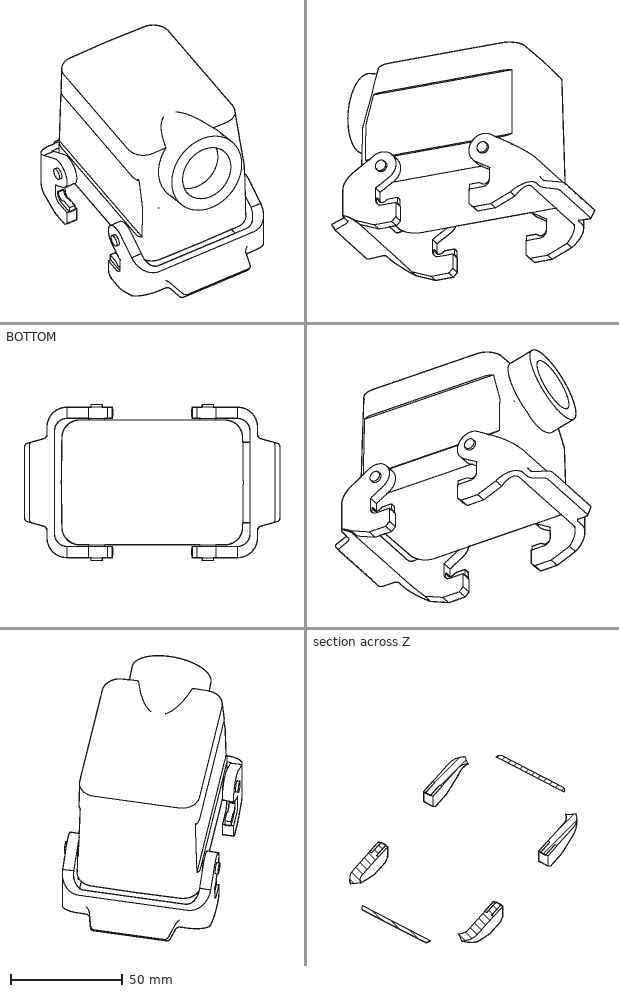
import cadquery as cq
import math


hood_height = 59.6
hood_half_length = 40.9
hood_half_width = 28.1
end_draft = math.radians(1.4)
side_draft = math.radians(0.85)
end_crown = 0.35
roof_drop = 0.35
straight_band_height = 10.6
corner_radius = 8.0
steep_edge = 0.5

port_angle = 15.0
port_diameter = 36.25
bore_diameter = 25.0
port_face_x = 47.5
port_face_z = 49.75
port_length = 45.0
slant_top_x = 32.7

recess_top_z = 45.5
recess_bottom_z = 13.8
recess_ramp_z = 12.7
recess_top_half_width = 26.35
recess_bottom_half_width = 27.1

pin_x = 25.0
pin_z = 6.0
pin_diameter = 5.1
pin_boss_diameter = 7.1
pin_tip_y = 35.1

lever_outer_x = 47.35
lever_end_thickness = 3.5
lever_outer_y = 33.85
lever_arm_thickness = 5.1
lever_bend_outer_radius = 9.0
lever_bend_inner_radius = 5.6
lever_bend_x = lever_outer_x - lever_bend_outer_radius
lever_inner_x = lever_outer_x - lever_end_thickness
lever_inner_y = lever_outer_y - lever_arm_thickness
lever_head_radius = 7.05
lever_top_z = 0.3
lever_bottom_z = -11.8
arm_bottom_z = -18.0
foot_start_x = 28.7
foot_z = -22.05
foot_chamfer = 2.0
trim_overshoot = 0.3
trim_height = 10.0
hook_end_x = 18.0
slot_back_x = 28.05
slot_top_z = -4.1
slot_floor_z = -13.0
slot_corner_radius = 3.2

lip_thickness = 2.8
lip_back_x = 27.5
lip_trough_radius = 2.6
lip_trough_z = -11.3
lip_crest_x = 22.0
lip_crest_z = -10.1
lip_end_x = 17.65
lip_root = 1.0

grip_tip_x = 57.41
grip_tip_z = -10.1
grip_tip_bottom_x = 55.2
grip_tip_bottom_z = -13.4
grip_root_z = -8.4
grip_root_half_width = 20.1
grip_tip_half_width = 17.3
grip_corner_radius = 1.5
grip_root_fillet = 2.0

tolerance = 0.001

sin_port = math.sin(math.radians(port_angle))
cos_port = math.cos(math.radians(port_angle))


def crowned_outline(half_length, half_width):
    """Rectangle whose two ends rise to a shallow peak at mid width."""
    shoulder = half_length - end_crown * half_width / hood_half_width
    return [
        (half_length, 0),
        (shoulder, half_width),
        (-shoulder, half_width),
        (-half_length, 0),
        (-shoulder, -half_width),
        (shoulder, -half_width),
    ]


def hood_section(height):
    """Closed wire of the hood's outline at the given height."""
    half_length = hood_half_length - height * math.tan(end_draft)
    leaning_height = max(0, height - straight_band_height)
    half_width = hood_half_width - leaning_height * math.tan(side_draft)
    points = [cq.Vector(x, y, height) for x, y in crowned_outline(half_length, half_width)]
    return cq.Wire.makePolygon(points, close=True)


def make_hood_block():
    """Drafted block with a pitched roof, a sloped wall at +X and round corners."""
    levels = [0, straight_band_height, hood_height]
    sections = [hood_section(level) for level in levels]
    block = cq.Workplane(cq.Solid.makeLoft(sections[:2], True))
    block = block.union(cq.Workplane(cq.Solid.makeLoft(sections[1:], True)))

    roof_profile = (
        cq.Workplane("YZ", origin=(-2 * hood_half_length, 0, 0))
        .moveTo(0, hood_height)
        .lineTo(hood_half_width, hood_height - roof_drop)
        .lineTo(hood_half_width, 0)
        .lineTo(-hood_half_width, 0)
        .lineTo(-hood_half_width, hood_height - roof_drop)
        .close()
        .extrude(4 * hood_half_length)
    )
    block = block.intersect(roof_profile)

    slope_plane = cq.Plane(
        origin=(slant_top_x, 0, hood_height),
        xDir=(cos_port, 0, sin_port),
        normal=(-sin_port, 0, cos_port),
    )
    slope_envelope = (
        cq.Workplane(slope_plane)
        .polyline([(x - 2 * hood_half_length, y)
                   for x, y in crowned_outline(2 * hood_half_length, hood_half_width)])
        .close()
        .extrude(2 * hood_height, both=True)
    )
    block = block.intersect(slope_envelope)
    return round_corners(block)


def round_corners(block):
    """Round the upright and sloped edges at the four corners."""
    near_side = hood_half_width - corner_radius
    corner_edges = [
        edge for edge in block.edges().vals()
        if abs(edge.Center().y) > near_side
        and abs(edge.tangentAt(0).z) > steep_edge
    ]
    return block.newObject(corner_edges).fillet(corner_radius)


def make_recess(side):
    """Shallow label recess along one side wall, ending in a ramp below."""
    clear = hood_half_width + lever_arm_thickness
    return (
        cq.Workplane("YZ", origin=(-2 * hood_half_length, 0, 0))
        .polyline([
            (side * clear, recess_top_z),
            (side * recess_top_half_width, recess_top_z),
            (side * recess_bottom_half_width, recess_bottom_z),
            (side * hood_half_width, recess_ramp_z),
            (side * clear, recess_ramp_z),
        ])
        .close()
        .extrude(4 * hood_half_length)
    )


def make_hood():
    hood = make_hood_block()
    for side in (-1, 1):
        hood = hood.cut(make_recess(side))

    port_plane = cq.Plane(
        origin=(port_face_x, 0, port_face_z),
        xDir=(0, 1, 0),
        normal=(cos_port, 0, sin_port),
    )
    bore_depth = (port_face_x - slant_top_x) * cos_port + (port_face_z - hood_height) * sin_port
    port = cq.Workplane(port_plane).circle(port_diameter / 2).extrude(-port_length)
    bore = cq.Workplane(port_plane).circle(bore_diameter / 2).extrude(-bore_depth)
    hood = hood.union(port).cut(bore)

    pin_places = [(-pin_x, pin_z), (pin_x, pin_z)]
    pins = cq.Workplane("XZ").pushPoints(pin_places).circle(pin_diameter / 2)
    bosses = cq.Workplane("XZ").pushPoints(pin_places).circle(pin_boss_diameter / 2)
    hood = hood.union(pins.extrude(pin_tip_y, both=True))
    return hood.union(bosses.extrude(lever_inner_y, both=True))


def head_tangent_point(x, z, turn):
    """Point where the line from (x, z) touches the lever's round head.

    turn is +1 or -1 and picks one of the two tangents.
    """
    dx = x + pin_x
    dz = z - pin_z
    angle = math.atan2(dz, dx) + turn * math.acos(lever_head_radius / math.hypot(dx, dz))
    return (-pin_x + lever_head_radius * math.cos(angle), pin_z + lever_head_radius * math.sin(angle))


def arm_top_height():
    """Height of the arm's sloping top edge where it meets the bend."""
    tangent_x, tangent_z = head_tangent_point(-lever_outer_x, lever_top_z, -1)
    slope = (tangent_z - lever_top_z) / (tangent_x + lever_outer_x)
    return lever_top_z + slope * lever_bend_outer_radius


def make_lever_silhouette():
    """Side shape of the -X lever, extruded over its full width.

    Its end past the bend is left tall, to be trimmed along the bend.
    """
    upper_tangent = head_tangent_point(-lever_outer_x, lever_top_z, -1)
    lower_tangent = head_tangent_point(-slot_back_x, slot_top_z, 1)
    corner_offset = slot_corner_radius * (1 - math.sqrt(0.5))
    return (
        cq.Workplane("XZ")
        .moveTo(*upper_tangent)
        .threePointArc((-pin_x + lever_head_radius, pin_z), lower_tangent)
        .lineTo(-slot_back_x, slot_top_z)
        .lineTo(-slot_back_x, slot_floor_z + slot_corner_radius)
        .threePointArc(
            (-slot_back_x + corner_offset, slot_floor_z + corner_offset),
            (-slot_back_x + slot_corner_radius, slot_floor_z),
        )
        .lineTo(-hook_end_x, slot_floor_z)
        .lineTo(-hook_end_x, foot_z + foot_chamfer)
        .lineTo(-hook_end_x - foot_chamfer, foot_z)
        .lineTo(-foot_start_x, foot_z)
        .lineTo(-lever_bend_x, arm_bottom_z)
        .lineTo(-lever_outer_x, arm_bottom_z)
        .lineTo(-lever_outer_x, arm_top_height())
        .lineTo(-lever_bend_x, arm_top_height())
        .close()
        .extrude(lever_outer_y, both=True)
    )


def make_lever_band():
    """U-shaped bent strip in plan, tall enough to hold the whole lever."""
    def bent_block(end_x, half_width, radius):
        return (
            cq.Workplane("XY")
            .rect(2 * end_x, 2 * half_width)
            .extrude(2 * lever_outer_x, both=True)
            .edges("|Z")
            .fillet(radius)
        )

    outer = bent_block(lever_outer_x, lever_outer_y, lever_bend_outer_radius)
    inner = bent_block(lever_inner_x, lever_inner_y, lever_bend_inner_radius)
    return outer.cut(inner)


def bend_edge_curve(side, end_x, half_width, radius, end_z, arm_z):
    """Quarter ellipse around a bend, climbing from end_z at the end plate to arm_z at the arm.

    It looks straight from the side and round from above.
    """
    rise = end_z - arm_z
    to_plate = cq.Vector(-radius, 0, rise)
    to_arm = cq.Vector(0, side, 0)
    return cq.Edge.makeEllipse(
        to_plate.Length,
        radius,
        pnt=cq.Vector(radius - end_x, side * (half_width - radius), arm_z),
        dir=to_plate.cross(to_arm),
        xdir=to_plate,
        angle1=0,
        angle2=90,
    )


def trim_bends(lever, end_z, arm_z):
    """Trim the end plate level at end_z and sweep its edge to arm_z along both bends."""
    outer_face = (lever_outer_x, lever_outer_y, lever_bend_outer_radius)
    inner_face = (lever_inner_x, lever_inner_y, lever_bend_inner_radius)
    overshoots = [trim_overshoot * (far - near) for far, near in zip(outer_face, inner_face)]
    outer_curve = [size + extra for size, extra in zip(outer_face, overshoots)]
    inner_curve = [size - extra for size, extra in zip(inner_face, overshoots)]

    edge_pairs = [
        [bend_edge_curve(side, *curve, end_z, arm_z) for curve in (outer_curve, inner_curve)]
        for side in (-1, 1)
    ]
    edge_pairs.append([
        cq.Edge.makeLine(cq.Vector(-end_x, radius - half_width, end_z),
                         cq.Vector(-end_x, half_width - radius, end_z))
        for end_x, half_width, radius in (outer_curve, inner_curve)
    ])

    away_from_strip = cq.Vector(0, 0, math.copysign(trim_height, arm_z - end_z))
    for outer_edge, inner_edge in edge_pairs:
        trimmed_edge = cq.Face.makeRuledSurface(outer_edge, inner_edge)
        lever = lever.cut(cq.Workplane(cq.Solid.extrudeLinear(trimmed_edge, away_from_strip)))
    return lever


def make_hook_lip(side):
    """Thin lip in the middle of the arm's thickness, above the slot floor."""
    trough_x = -lip_back_x + lip_trough_radius
    trough_top_z = lip_trough_z + lip_trough_radius
    arc_offset = lip_trough_radius * math.sqrt(0.5)
    lip_middle_y = side * (lever_outer_y - lever_arm_thickness / 2)
    return (
        cq.Workplane("XZ", origin=(0, lip_middle_y, 0))
        .moveTo(-lip_back_x, trough_top_z)
        .threePointArc((trough_x - arc_offset, trough_top_z - arc_offset), (trough_x, lip_trough_z))
        .spline([(-lip_crest_x, lip_crest_z)], tangents=[(1, 0), (1, 0)], includeCurrent=True)
        .lineTo(-lip_end_x, lip_crest_z)
        .lineTo(-lip_end_x, slot_floor_z)
        .lineTo(-hook_end_x, slot_floor_z)
        .lineTo(-hook_end_x, slot_floor_z - lip_root)
        .lineTo(-slot_back_x - lip_root, slot_floor_z - lip_root)
        .lineTo(-slot_back_x - lip_root, trough_top_z)
        .close()
        .extrude(lip_thickness / 2, both=True)
    )


def make_grip():
    """Tapered finger grip with a slanted tip, drooping outward."""
    root_x = -lever_outer_x
    side_profile = (
        cq.Workplane("XZ")
        .polyline([
            (root_x, grip_root_z),
            (-grip_tip_x, grip_tip_z),
            (-grip_tip_bottom_x, grip_tip_bottom_z),
            (root_x, lever_bottom_z),
        ])
        .close()
        .extrude(lever_outer_y, both=True)
    )
    plan = (
        cq.Workplane("XY")
        .polyline([
            (root_x, grip_root_half_width),
            (-grip_tip_x, grip_tip_half_width),
            (-grip_tip_x, -grip_tip_half_width),
            (root_x, -grip_root_half_width),
        ])
        .close()
        .extrude(lever_outer_x, both=True)
    )
    grip = side_profile.intersect(plan)
    tip_corners = [
        edge for edge in grip.edges().vals()
        if edge.Center().x < -grip_tip_bottom_x
        and abs(edge.Center().y) > grip_tip_half_width - grip_corner_radius
    ]
    return grip.newObject(tip_corners).fillet(grip_corner_radius)


def make_blended_grip():
    """Grip with its top and two sides flaring out where they meet the end plate."""
    backing = cq.Workplane("XY").box(
        lever_end_thickness,
        2 * lever_outer_y,
        2 * lever_outer_x,
    ).translate((-lever_outer_x + lever_end_thickness / 2, 0, 0))
    grip = backing.union(make_grip())
    root_edges = [
        edge for edge in grip.edges().vals()
        if abs(edge.Center().x + lever_outer_x) < tolerance
        and lever_bottom_z + tolerance < edge.Center().z < grip_root_z + tolerance
        and abs(edge.Center().y) < grip_root_half_width + tolerance
    ]
    return grip.newObject(root_edges).fillet(grip_root_fillet).cut(backing)


def make_lever():
    """Lever at the -X end of the hood."""
    lever = make_lever_silhouette().intersect(make_lever_band())
    lever = trim_bends(lever, lever_top_z, arm_top_height())
    lever = trim_bends(lever, lever_bottom_z, arm_bottom_z)
    lever = lever.union(make_blended_grip())
    for side in (-1, 1):
        lever = lever.union(make_hook_lip(side))
    pin_hole = (
        cq.Workplane("XZ")
        .center(-pin_x, pin_z)
        .circle(pin_diameter / 2)
        .extrude(pin_tip_y, both=True)
    )
    return lever.cut(pin_hole)


hood = make_hood()
left_lever = make_lever()
right_lever = left_lever.mirror("YZ")

result = cq.Compound.makeCompound([hood.val(), left_lever.val(), right_lever.val()])